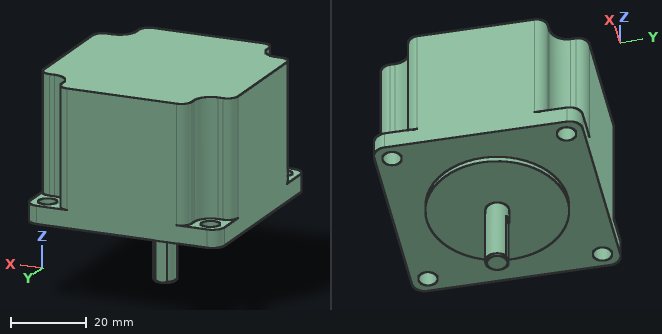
import cadquery as cq

width = 56.4
total_height = 59.6
motor_height = 39.0
flange_thickness = 5.1
flange_corner_radius = 3.5

hole_pitch = 47.15
hole_diameter = 5.1

notch_depth = 9.3
notch_inner_radius = 4.8
notch_lip_radius = 3.05

pilot_diameter = 38.1
pilot_height = 1.6

shaft_diameter = 6.4
shaft_chamfer = 0.5
flat_depth = 0.5
round_shaft_length = 3.95

half_width = width / 2
body_height = motor_height - flange_thickness
shaft_length = total_height - motor_height
flat_length = shaft_length - pilot_height - round_shaft_length


def make_flange():
    """Square mounting plate with rounded corners and four through holes."""
    plate = cq.Workplane("XY").rect(width, width).extrude(flange_thickness)
    plate = plate.edges("|Z").fillet(flange_corner_radius)
    holes = (
        cq.Workplane("XY")
        .rect(hole_pitch, hole_pitch, forConstruction=True)
        .vertices()
        .circle(hole_diameter / 2)
        .extrude(flange_thickness)
    )
    return plate.cut(holes)


def make_body():
    """Motor housing with a rounded notch above each mounting hole."""
    notch_center = half_width - notch_depth / 2
    body = (
        cq.Workplane("XY")
        .workplane(offset=flange_thickness)
        .rect(width, width)
        .extrude(body_height)
    )
    for x_sign in (-1, 1):
        for y_sign in (-1, 1):
            notch = (
                cq.Workplane("XY")
                .workplane(offset=flange_thickness)
                .center(x_sign * notch_center, y_sign * notch_center)
                .rect(notch_depth, notch_depth)
                .extrude(body_height)
            )
            body = body.cut(notch)

    inner_region = cq.selectors.BoxSelector(
        (-notch_center, -notch_center, 0),
        (notch_center, notch_center, motor_height),
    )
    body = body.edges("|Z").edges(inner_region).fillet(notch_inner_radius)

    for wall in ("<X", ">X", "<Y", ">Y"):
        body = body.faces(wall).edges("|Z").fillet(notch_lip_radius)
    return body


def make_shaft():
    """Shaft with a chamfered tip and a flat on its +Y side."""
    shaft = cq.Workplane("XY").circle(shaft_diameter / 2).extrude(-shaft_length)
    shaft = shaft.faces("<Z").chamfer(shaft_chamfer)
    flat_cutter = (
        cq.Workplane("XY")
        .workplane(offset=-shaft_length)
        .center(0, shaft_diameter - flat_depth)
        .rect(shaft_diameter, shaft_diameter)
        .extrude(flat_length)
    )
    return shaft.cut(flat_cutter)


pilot = cq.Workplane("XY").circle(pilot_diameter / 2).extrude(-pilot_height)

result = make_flange().union(make_body()).union(pilot).union(make_shaft())